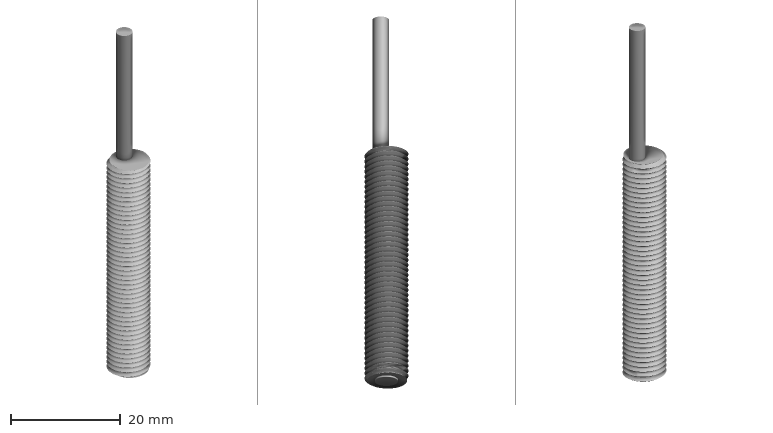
import cadquery as cq
import math

thread_diameter = 8.0
thread_pitch = 1.0
thread_depth = 0.72
base_gap = 0.02
housing_length = 45.0
crest_start_angle = 90.0

bore_diameter = 6.27
face_diameter = 4.25
face_height = 0.3
face_fillet = 0.1
cable_diameter = 3.0
cable_length = 27.0
cable_x = -1.52
cable_y = 0.6

crest_radius = thread_diameter / 2
core_radius = crest_radius - thread_depth
ridge_sink = 0.02
base_radius = core_radius - ridge_sink
ridge_half_width = (thread_pitch - base_gap) / 2

overrun = thread_pitch
rough_length = housing_length + 2 * overrun
rough_core_length = rough_length + 2 * overrun
trim_radius = thread_diameter


def make_thread_ridge():
    """Right-hand helical ridge of triangular section, one overrun too long at each end."""
    helix = cq.Wire.makeHelix(thread_pitch, rough_length, base_radius)
    return (
        cq.Workplane("XZ")
        .moveTo(base_radius, -ridge_half_width)
        .lineTo(crest_radius, 0)
        .lineTo(base_radius, ridge_half_width)
        .close()
        .sweep(cq.Workplane(helix), isFrenet=True)
        .rotate((0, 0, 0), (0, 0, 1), crest_start_angle)
        .translate((0, 0, -overrun))
    )


def make_housing():
    """Threaded tube, cut off flat at both ends."""
    rough_core = (
        cq.Workplane("XY", origin=(0, 0, -2 * overrun))
        .circle(core_radius)
        .extrude(rough_core_length)
    )
    trimming_ring = (
        cq.Workplane("XY")
        .circle(trim_radius)
        .circle(bore_diameter / 2)
        .extrude(housing_length)
    )
    threaded_core = rough_core.union(make_thread_ridge(), clean=False)
    return threaded_core.intersect(trimming_ring, clean=False)


def make_insert():
    """Core filling the bore flush at both ends, with its round face and its cable."""
    core = cq.Workplane("XY").circle(bore_diameter / 2).extrude(housing_length)
    face = (
        cq.Workplane("XY")
        .circle(face_diameter / 2)
        .extrude(-face_height)
        .faces("<Z")
        .edges()
        .fillet(face_fillet)
    )
    cable = (
        cq.Workplane("XY", origin=(cable_x, cable_y, housing_length))
        .circle(cable_diameter / 2)
        .extrude(cable_length)
    )
    return core.union(face).union(cable)


housing = make_housing()
insert = make_insert()
result = cq.Compound.makeCompound([housing.val(), insert.val()])